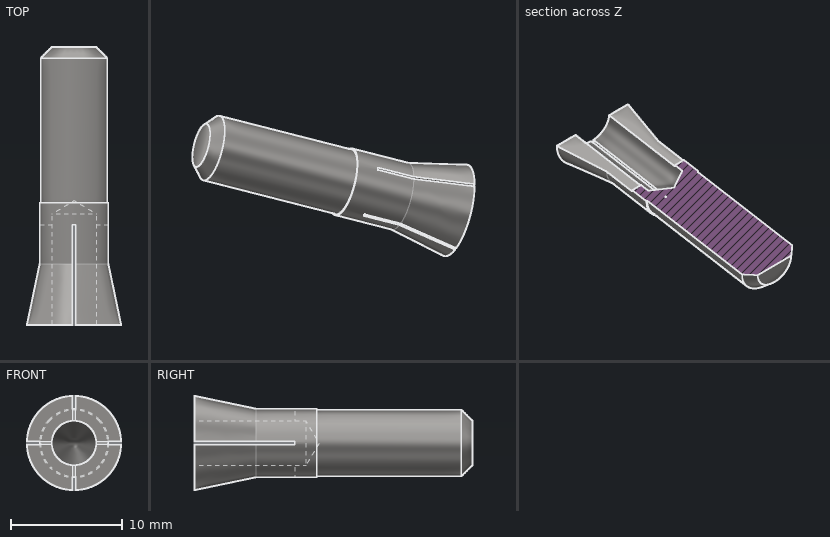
import cadquery as cq
import math

length = 25.0
shank_radius = 6.0 / 2
collar_radius = 6.2 / 2
mouth_radius = 8.5 / 2
flare_length = 5.5
collar_end = 11.0
tail_chamfer = 1.0

bore_radius = 4.0 / 2
bore_depth = 10.0
drill_point_angle = 118.0

slot_width = 0.25
slot_depth = 9.0


def revolve_about_y(points):
    """Revolve a closed (radius, Y) outline around the Y axis."""
    return cq.Workplane("XY").polyline(points).close().revolve(360, (0, 0, 0), (0, 1, 0))


def make_body():
    return revolve_about_y([
        (0, 0),
        (mouth_radius, 0),
        (collar_radius, flare_length),
        (collar_radius, collar_end),
        (shank_radius, collar_end),
        (shank_radius, length - tail_chamfer),
        (shank_radius - tail_chamfer, length),
        (0, length),
    ])


def make_bore():
    """Blind bore ending in a conical drill point."""
    point_length = bore_radius / math.tan(math.radians(drill_point_angle / 2))
    return revolve_about_y([
        (0, 0),
        (bore_radius, 0),
        (bore_radius, bore_depth),
        (0, bore_depth + point_length),
    ])


def make_slots():
    """Two crossing slots that split the mouth into four jaws."""
    span = 2 * mouth_radius
    slots = cq.Workplane("XY")
    for size_x, size_z in ((span, slot_width), (slot_width, span)):
        slot = cq.Workplane("XY").box(size_x, slot_depth, size_z, centered=(True, False, True))
        slots = slots.add(slot)
    return slots.combine()


result = make_body().cut(make_bore()).cut(make_slots())